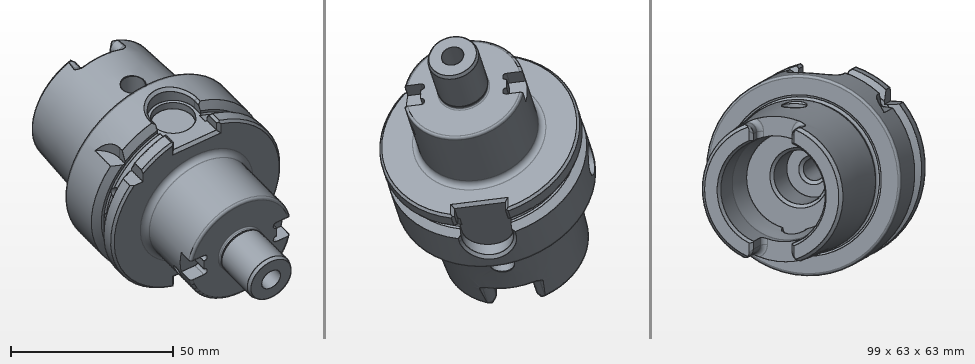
import cadquery as cq
import math


SHANK_LENGTH = 32.0
FLANGE_LENGTH = 26.0
BOSS_END = 50.0
ARBOR_END = 67.0

TAPER_RADIUS = 24.2
TAPER_START = -2.2
TAPER_SLOPE = 0.05
SHANK_CHAMFER = 1.0
NECK_RADIUS = 23.75
NECK_RAMP_LENGTH = 0.75
NECK_FILLET = 0.9
FACE_RECESS_RADIUS = 25.3
FACE_RECESS_DEPTH = 0.23

FLANGE_RADIUS = 31.5
FLANGE_FILLET = 0.8
FLANGE_CHAMFER = 0.8
GROOVE_CENTER = 18.0
GROOVE_FLOOR_WIDTH = 3.6
GROOVE_MOUTH_WIDTH = 6.9
GROOVE_FLOOR_RADIUS = 27.5
GROOVE_FLOOR_CHAMFER = 0.5
GROOVE_WALL_TOP_RADIUS = 28.9

BOSS_RADIUS = 19.0
BOSS_FILLET = 2.0
BOSS_END_FILLET = 0.9
ARBOR_RADIUS = 8.0
ARBOR_CHAMFER_LENGTH = 1.25
ARBOR_CHAMFER_DROP = 0.5
ARBOR_RELIEF_DEPTH = 0.2
ARBOR_RELIEF_FILLET = 0.4
ARBOR_RELIEF_WIDTH = 1.1
ARBOR_RELIEF_RAMP = 0.6

BORE_MOUTH_RADIUS = 17.65
BORE_MOUTH_LENGTH = 1.4
BORE_RADIUS = 16.9
BORE_STRAIGHT_DEPTH = 13.0
BORE_THROAT_RADIUS = 15.5
BORE_THROAT_DEPTH = 23.2
UNDERCUT_RADIUS = 19.5
UNDERCUT_WALL_ANGLE = 30.0
BORE_FLOOR = -4.0
SOCKET_RADIUS = 8.5
SOCKET_CHAMFER = 1.0
SOCKET_DEPTH = 14.0
THROUGH_RADIUS = 3.5
THROUGH_CHAMFER = 1.1

DRIVE_SLOT_WIDTH = 12.54
DRIVE_SLOT_DEPTH_TOP = 6.1
DRIVE_SLOT_DEPTH_BOTTOM = 10.0
DRIVE_FLARE_RADIUS = 2.75
DRIVE_FLARE_START = 18.1
DRIVE_FLOOR_FILLET = 1.7
DRIVE_MOUTH_CHAMFER = 1.0

CROSS_HOLE_X = -9.2
CROSS_HOLE_RADIUS = 3.85
CROSS_HOLE_CHAMFER = 0.4

KEYWAY_WIDTH = 16.0
KEYWAY_FLOOR = 26.5
KEYWAY_CENTER_X = 13.0
KEYWAY_CHAMFER = 1.0
KEYWAY_POCKET_RADIUS = 7.0
KEYWAY_POCKET_DEPTH = 2.6

NOTCH_OFFSET = 20.0
NOTCH_CENTER_X = 13.0
NOTCH_END_RADIUS = 7.65

DATA_HOLE_X = 7.3
DATA_HOLE_RADIUS = 5.0
DATA_HOLE_DEPTH = 4.6

BALANCE_ANGLES = [25.0, 5.0, -15.0, -35.0]
BALANCE_RADIUS = 1.7
BALANCE_DEPTH = 10.0
SCREW_HOLE_X = 41.8
SCREW_HOLE_ANGLE = -20.0
SCREW_HOLE_RADIUS = 2.0
SCREW_HOLE_DEPTH = 4.5
DRILL_TIP_ANGLE = 118.0

KEY_WIDTH = 8.0
KEY_LENGTH = 5.0
KEY_FLOOR = 13.5
KEY_RELIEF_RADIUS = 1.17


def revolve_about_x(half_profile):
    """Close a half profile drawn as (X, radius) and revolve it about the X axis."""
    return half_profile.close().revolve(360, (0, 0, 0), (1, 0, 0))


def half_turn(body):
    """Turn a body by 180 degrees about the X axis."""
    return body.rotate((0, 0, 0), (1, 0, 0), 180)


def outer_body():
    shank_end_radius = TAPER_RADIUS - TAPER_SLOPE * (SHANK_LENGTH + TAPER_START)
    relief_radius = ARBOR_RADIUS - ARBOR_RELIEF_DEPTH
    profile = (
        cq.Workplane("XY")
        .moveTo(-SHANK_LENGTH, 0)
        .lineTo(-SHANK_LENGTH, shank_end_radius - SHANK_CHAMFER)
        .lineTo(-SHANK_LENGTH + SHANK_CHAMFER, shank_end_radius + TAPER_SLOPE * SHANK_CHAMFER)
        .lineTo(TAPER_START, TAPER_RADIUS)
        .lineTo(TAPER_START + NECK_RAMP_LENGTH, NECK_RADIUS)
        .lineTo(FACE_RECESS_DEPTH - NECK_FILLET, NECK_RADIUS)
        .radiusArc((FACE_RECESS_DEPTH, NECK_RADIUS + NECK_FILLET), -NECK_FILLET)
        .lineTo(0, FACE_RECESS_RADIUS)
        .lineTo(0, FLANGE_RADIUS - FLANGE_FILLET)
        .radiusArc((FLANGE_FILLET, FLANGE_RADIUS), FLANGE_FILLET)
        .lineTo(GROOVE_CENTER - GROOVE_MOUTH_WIDTH / 2, FLANGE_RADIUS)
        .lineTo(GROOVE_CENTER - GROOVE_FLOOR_WIDTH / 2, GROOVE_WALL_TOP_RADIUS)
        .lineTo(GROOVE_CENTER - GROOVE_FLOOR_WIDTH / 2, GROOVE_FLOOR_RADIUS + GROOVE_FLOOR_CHAMFER)
        .lineTo(GROOVE_CENTER - GROOVE_FLOOR_WIDTH / 2 + GROOVE_FLOOR_CHAMFER, GROOVE_FLOOR_RADIUS)
        .lineTo(GROOVE_CENTER + GROOVE_FLOOR_WIDTH / 2, GROOVE_FLOOR_RADIUS)
        .lineTo(GROOVE_CENTER + GROOVE_FLOOR_WIDTH / 2, GROOVE_WALL_TOP_RADIUS)
        .lineTo(GROOVE_CENTER + GROOVE_MOUTH_WIDTH / 2, FLANGE_RADIUS)
        .lineTo(FLANGE_LENGTH - FLANGE_CHAMFER, FLANGE_RADIUS)
        .lineTo(FLANGE_LENGTH, FLANGE_RADIUS - FLANGE_CHAMFER)
        .lineTo(FLANGE_LENGTH, BOSS_RADIUS + BOSS_FILLET)
        .radiusArc((FLANGE_LENGTH + BOSS_FILLET, BOSS_RADIUS), -BOSS_FILLET)
        .lineTo(BOSS_END - BOSS_END_FILLET, BOSS_RADIUS)
        .radiusArc((BOSS_END, BOSS_RADIUS - BOSS_END_FILLET), BOSS_END_FILLET)
        .lineTo(BOSS_END, relief_radius + ARBOR_RELIEF_FILLET)
        .radiusArc((BOSS_END + ARBOR_RELIEF_FILLET, relief_radius), -ARBOR_RELIEF_FILLET)
        .lineTo(BOSS_END + ARBOR_RELIEF_WIDTH, relief_radius)
        .lineTo(BOSS_END + ARBOR_RELIEF_WIDTH + ARBOR_RELIEF_RAMP, ARBOR_RADIUS)
        .lineTo(ARBOR_END - ARBOR_CHAMFER_LENGTH, ARBOR_RADIUS)
        .lineTo(ARBOR_END, ARBOR_RADIUS - ARBOR_CHAMFER_DROP)
        .lineTo(ARBOR_END, 0)
    )
    return revolve_about_x(profile)


def bore():
    undercut_rise = UNDERCUT_RADIUS - BORE_THROAT_RADIUS
    undercut_wall_length = undercut_rise * math.tan(math.radians(UNDERCUT_WALL_ANGLE))
    socket_floor = BORE_FLOOR + SOCKET_DEPTH
    profile = (
        cq.Workplane("XY")
        .moveTo(-SHANK_LENGTH, 0)
        .lineTo(-SHANK_LENGTH, BORE_MOUTH_RADIUS)
        .lineTo(-SHANK_LENGTH + BORE_MOUTH_LENGTH, BORE_RADIUS)
        .lineTo(-SHANK_LENGTH + BORE_STRAIGHT_DEPTH, BORE_RADIUS)
        .lineTo(-SHANK_LENGTH + BORE_THROAT_DEPTH, BORE_THROAT_RADIUS)
        .lineTo(-SHANK_LENGTH + BORE_THROAT_DEPTH + undercut_wall_length, UNDERCUT_RADIUS)
        .lineTo(BORE_FLOOR, UNDERCUT_RADIUS)
        .lineTo(BORE_FLOOR, SOCKET_RADIUS + SOCKET_CHAMFER)
        .lineTo(BORE_FLOOR + SOCKET_CHAMFER, SOCKET_RADIUS)
        .lineTo(socket_floor, SOCKET_RADIUS)
        .lineTo(socket_floor, THROUGH_RADIUS + THROUGH_CHAMFER)
        .lineTo(socket_floor + THROUGH_CHAMFER, THROUGH_RADIUS)
        .lineTo(ARBOR_END, THROUGH_RADIUS)
        .lineTo(ARBOR_END, 0)
    )
    return revolve_about_x(profile)


def flared_slot_section(x, widening):
    """Slot outline at one X: straight walls that flare in round arcs into flats.

    Widening moves the walls apart and leaves the flats in place.
    """
    half_width = DRIVE_SLOT_WIDTH / 2 + widening
    flare = DRIVE_FLARE_RADIUS - widening
    flare_edge = half_width + flare
    arc_top = DRIVE_FLARE_START + DRIVE_FLARE_RADIUS
    outside = FLANGE_RADIUS
    diagonal = flare * math.sqrt(0.5)
    arc_middle = (flare_edge - diagonal, arc_top - flare + diagonal)
    return (
        cq.Workplane("YZ", origin=(x, 0, 0))
        .moveTo(-half_width, 0)
        .lineTo(half_width, 0)
        .lineTo(half_width, arc_top - flare)
        .threePointArc(arc_middle, (flare_edge, arc_top))
        .lineTo(outside, arc_top)
        .lineTo(outside, outside)
        .lineTo(-outside, outside)
        .lineTo(-outside, arc_top)
        .lineTo(-flare_edge, arc_top)
        .threePointArc((-arc_middle[0], arc_middle[1]), (-half_width, arc_top - flare))
        .close()
    )


def drive_slot(depth):
    """Slot on the +Z side of the shank end, with rounded floor and chamfered mouth."""
    end_face = -SHANK_LENGTH
    slot = flared_slot_section(end_face, 0).extrude(depth)
    slot = slot.faces(">X").edges("not(<Z or >Z)").fillet(DRIVE_FLOOR_FILLET)
    mouth = cq.Solid.makeLoft(
        [
            flared_slot_section(end_face, DRIVE_MOUTH_CHAMFER).wires().val(),
            flared_slot_section(end_face + DRIVE_MOUTH_CHAMFER, 0).wires().val(),
        ],
        True,
    )
    return slot.union(cq.Workplane(mouth))


def cross_hole():
    """Through hole along Z, countersunk where it breaks out of the taper."""
    surface = TAPER_RADIUS - TAPER_SLOPE * (TAPER_START - CROSS_HOLE_X)
    rim_radius = CROSS_HOLE_RADIUS + CROSS_HOLE_CHAMFER
    hole = (
        cq.Workplane("XY", origin=(CROSS_HOLE_X, 0, 0))
        .circle(CROSS_HOLE_RADIUS)
        .extrude(FLANGE_RADIUS, both=True)
    )
    countersink = (
        cq.Workplane("XZ", origin=(CROSS_HOLE_X, 0, 0))
        .moveTo(0, surface - rim_radius)
        .lineTo(0, surface + CROSS_HOLE_CHAMFER)
        .lineTo(rim_radius + CROSS_HOLE_CHAMFER, surface + CROSS_HOLE_CHAMFER)
        .close()
        .revolve(360, (0, 0, 0), (0, 1, 0))
    )
    return hole.union(countersink).union(half_turn(countersink))


def keyway():
    """Flange keyway on the +Z side: round at the shank side, open toward +X.

    The cutter is what a disc loses when the slot is cut and its rim and end chamfered.
    """
    half_width = KEYWAY_WIDTH / 2
    disc = cq.Workplane("YZ").circle(FLANGE_RADIUS).extrude(FLANGE_LENGTH)
    slot = (
        cq.Workplane("XY", origin=(0, 0, KEYWAY_FLOOR))
        .moveTo(FLANGE_LENGTH, -half_width)
        .lineTo(KEYWAY_CENTER_X, -half_width)
        .threePointArc((KEYWAY_CENTER_X - half_width, 0), (KEYWAY_CENTER_X, half_width))
        .lineTo(FLANGE_LENGTH, half_width)
        .close()
        .extrude(FLANGE_RADIUS)
    )
    upper_edge_height = math.sqrt(FLANGE_RADIUS**2 - half_width**2)
    upper_edges = cq.selectors.BoxSelector(
        (0, -KEYWAY_WIDTH, upper_edge_height - KEYWAY_CHAMFER),
        (FLANGE_LENGTH, KEYWAY_WIDTH, FLANGE_RADIUS),
    )
    end_edges = cq.selectors.BoxSelector(
        (FLANGE_LENGTH - KEYWAY_CHAMFER, -KEYWAY_WIDTH, KEYWAY_FLOOR - KEYWAY_CHAMFER),
        (FLANGE_LENGTH + KEYWAY_CHAMFER, KEYWAY_WIDTH, FLANGE_RADIUS),
    )
    slotted_disc = disc.cut(slot).edges(upper_edges + end_edges).chamfer(KEYWAY_CHAMFER)
    return disc.cut(slotted_disc)


def keyway_pocket():
    """Shallow round pocket sunk into the floor of the +Z keyway."""
    return (
        cq.Workplane("XY", origin=(KEYWAY_CENTER_X, 0, KEYWAY_FLOOR - KEYWAY_POCKET_DEPTH))
        .circle(KEYWAY_POCKET_RADIUS)
        .extrude(KEYWAY_POCKET_DEPTH)
    )


def corner_notch():
    """Notch in the flange at -Y, +Z, with a round end at the shank side."""
    reach = 2 * NOTCH_END_RADIUS
    floor = cq.Workplane("XY", origin=(NOTCH_CENTER_X, -NOTCH_OFFSET, NOTCH_OFFSET))
    length = FLANGE_LENGTH - NOTCH_CENTER_X
    straight = floor.rect(length, -reach, centered=False).extrude(reach)
    round_end = floor.center(0, -NOTCH_END_RADIUS).circle(NOTCH_END_RADIUS).extrude(reach)
    return straight.union(round_end)


def data_hole():
    return (
        cq.Workplane("XZ", origin=(DATA_HOLE_X, FLANGE_RADIUS, 0))
        .circle(DATA_HOLE_RADIUS)
        .extrude(DATA_HOLE_DEPTH)
    )


def radial_drilling(x, surface_radius, radius, depth, angle):
    """Drilled hole with a conical tip, entering from -Y turned upward by the angle."""
    tip_length = radius / math.tan(math.radians(DRILL_TIP_ANGLE / 2))
    bottom = surface_radius - depth
    hole = (
        cq.Workplane("XY", origin=(x, 0, 0))
        .moveTo(0, -bottom + tip_length)
        .lineTo(radius, -bottom)
        .lineTo(radius, -surface_radius - radius)
        .lineTo(0, -surface_radius - radius)
        .close()
        .revolve(360, (0, 0, 0), (0, 1, 0))
    )
    return hole.rotate((0, 0, 0), (1, 0, 0), -angle)


def key_slot():
    """Driving-key slot on the -Y side of the boss end, with relieved floor corners."""
    start = cq.Workplane("YZ", origin=(BOSS_END - KEY_LENGTH, 0, 0))
    slot = (
        start.center(-KEY_FLOOR - BOSS_RADIUS / 2, 0)
        .rect(BOSS_RADIUS, KEY_WIDTH)
        .extrude(KEY_LENGTH)
    )
    relief_offset = KEY_WIDTH / 2 - KEY_RELIEF_RADIUS
    reliefs = (
        start.pushPoints([(-KEY_FLOOR, relief_offset), (-KEY_FLOOR, -relief_offset)])
        .circle(KEY_RELIEF_RADIUS)
        .extrude(KEY_LENGTH)
    )
    return slot.union(reliefs)


def build():
    body = outer_body().cut(bore())
    body = body.cut(drive_slot(DRIVE_SLOT_DEPTH_TOP))
    body = body.cut(half_turn(drive_slot(DRIVE_SLOT_DEPTH_BOTTOM)))
    body = body.cut(cross_hole())
    body = body.cut(keyway()).cut(half_turn(keyway()))
    body = body.cut(keyway_pocket())
    body = body.cut(corner_notch())
    body = body.cut(data_hole())
    for angle in BALANCE_ANGLES:
        body = body.cut(
            radial_drilling(GROOVE_CENTER, GROOVE_FLOOR_RADIUS, BALANCE_RADIUS, BALANCE_DEPTH, angle)
        )
    screw_hole = radial_drilling(
        SCREW_HOLE_X, BOSS_RADIUS, SCREW_HOLE_RADIUS, SCREW_HOLE_DEPTH, SCREW_HOLE_ANGLE
    )
    for feature in (screw_hole, key_slot()):
        body = body.cut(feature).cut(half_turn(feature))
    return body


result = build()